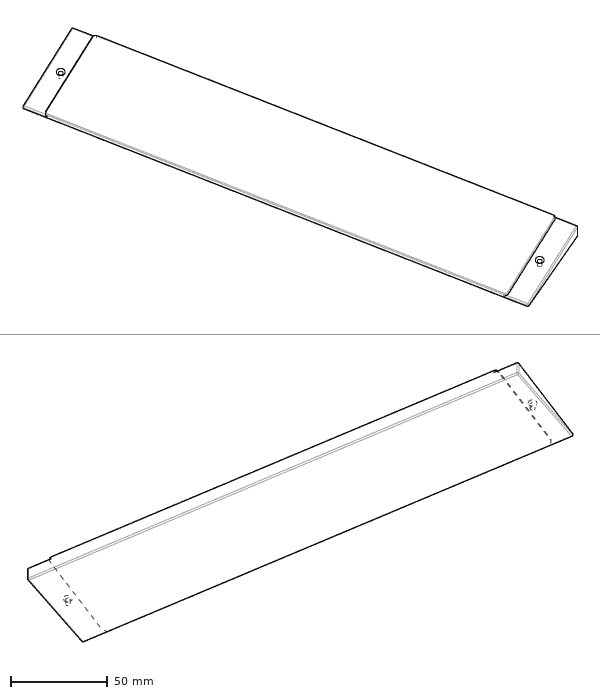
import cadquery as cq
import math

length = 292.85
width = 58.1
height = 10.12

front_height = 3.3
step_height = 1.3
base_edge_radius = 0.75

flange_length = 12.5
panel_corner_radius = 2.0
panel_top_radius = 0.5

hole_diameter = 2.53
hole_depth = 4
countersink_diameter = 4.6
countersink_angle = 90
hole_end_distance = 7.8

base_top = height - step_height
front_bottom = height - front_height
slope_angle = math.atan((height - front_height) / width)
rear_bottom = -base_edge_radius * (math.tan(slope_angle) + 1 / math.cos(slope_angle) - 1)
panel_length = length - 2 * flange_length


def make_base():
    """Wedge deepest along +Y, with all edges rounded."""
    side_profile = [
        (-width / 2, front_bottom),
        (width / 2, rear_bottom),
        (width / 2, base_top),
        (-width / 2, base_top),
    ]
    wedge = (
        cq.Workplane("YZ", origin=(-length / 2, 0, 0))
        .polyline(side_profile)
        .close()
        .extrude(length)
    )
    return wedge.edges().fillet(base_edge_radius)


def make_panel():
    """Raised panel flush with the long sides, sunk into the base by the depth of the rounded edge."""
    return (
        cq.Workplane("XY", origin=(0, 0, base_top - base_edge_radius))
        .rect(panel_length, width)
        .extrude(step_height + base_edge_radius)
        .edges("|Z")
        .fillet(panel_corner_radius)
        .faces(">Z")
        .edges()
        .fillet(panel_top_radius)
    )


def drill_screw_holes(body):
    """Countersunk blind holes near both ends."""
    hole_x = length / 2 - hole_end_distance
    return (
        body.copyWorkplane(cq.Workplane("XY", origin=(0, 0, base_top)))
        .pushPoints([(-hole_x, 0), (hole_x, 0)])
        .cskHole(hole_diameter, countersink_diameter, countersink_angle, depth=hole_depth)
    )


result = drill_screw_holes(make_base().union(make_panel()))